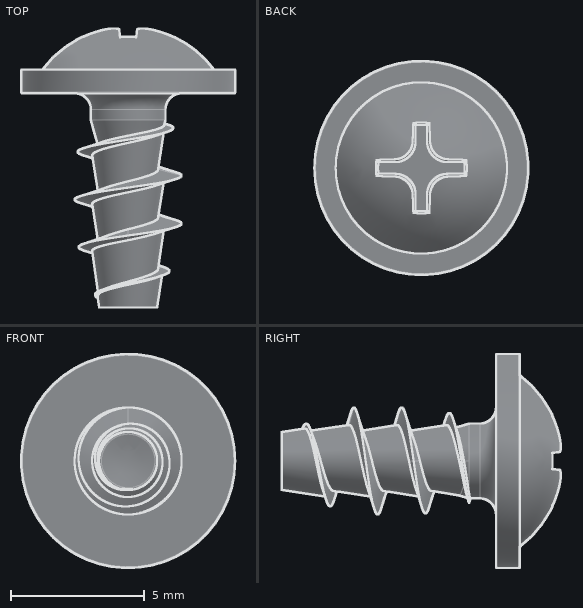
import cadquery as cq
import math


collar_radius = 4.0
collar_height = 0.9
collar_edge_radius = 0.05
dome_sphere_radius = 4.0
dome_height = 1.6
dome_base_radius = math.sqrt(dome_sphere_radius**2 - (dome_sphere_radius - dome_height) ** 2)
dome_top = collar_height + dome_height

recess_span = 3.48
wing_width = 0.68
recess_draft = 6
recess_corner_radius = 0.65
recess_depth = 1.2

neck_radius = 1.4
neck_fillet_radius = 0.6
neck_end = -1.0
neck_cone_end = -2.0
shank_length = 8.0
tip_radius = 1.085
tip_taper = 0.155

pitch = 1.79
thread_radius = 2.0
flank_slope = math.tan(math.radians(15))
first_crest_y = -1.28
lead_in_angle = 0.7 * math.pi
lead_in_crest_loss = 0.49
lead_in_exponent = 1.5
full_crest_angle = 2 * math.pi
taper_angle = 4.5 * math.pi
thread_end_angle = 7.5 * math.pi
points_per_turn = 24

root_radius_wide = 1.35
root_radius_narrow = 1.12
root_start_angle = -math.pi
root_overlap = 0.02
root_gap_minimum = 0.03
center_radius = 1.05
inner_radius = 0.8

dimple_radius = 1.0
dimple_depth = 0.1


def crest_y(angle):
    """Height of the crest, for an angle measured from +X towards +Z."""
    turned = angle
    if angle < 0:
        turned = angle + angle**2 / (2 * lead_in_angle)
    return first_crest_y - pitch * turned / (2 * math.pi)


def crest_radius(angle):
    """Radius of the crest: rising from the neck, then constant, then falling to the tip."""
    if angle < full_crest_angle:
        remaining = (full_crest_angle - angle) / (full_crest_angle + lead_in_angle)
        return thread_radius - lead_in_crest_loss * remaining**lead_in_exponent
    if angle > taper_angle:
        progress = (angle - taper_angle) / (thread_end_angle - taper_angle)
        return thread_radius - (thread_radius - tip_radius) * progress
    return thread_radius


def helical_rib(section, start_angle, end_angle):
    """Solid whose cross-section at each angle is the polygon section(angle) of (radius, y)."""
    corner_count = len(section(start_angle))
    span = end_angle - start_angle
    steps = math.ceil(points_per_turn * span / (2 * math.pi))

    def corner_point(corner, angle):
        radius, y = section(angle)[corner]
        return cq.Vector(radius * math.cos(angle), y, radius * math.sin(angle))

    angles = [start_angle + span * step / steps for step in range(steps + 1)]
    curves = []
    for corner in range(corner_count):
        points = [corner_point(corner, angle) for angle in angles]
        curves.append(cq.Edge.makeSpline(points, parameters=angles))

    faces = []
    for corner in range(corner_count):
        faces.append(cq.Face.makeRuledSurface(curves[corner - 1], curves[corner]))
    for angle in (start_angle, end_angle):
        corners = [corner_point(corner, angle) for corner in range(corner_count)]
        faces.append(cq.Face.makeFromWires(cq.Wire.makePolygon(corners, close=True)))
    solid = cq.Solid.makeSolid(cq.Shell.makeShell(faces))
    return cq.Workplane(solid.fix())


def thread_section(angle):
    """Sharp triangle reaching from inside the core to the crest."""
    radius = crest_radius(angle)
    y = crest_y(angle)
    half_width = (radius - inner_radius) * flank_slope
    return [(inner_radius, y + half_width), (radius, y), (inner_radius, y - half_width)]


def root_gap(angle, root_radius):
    """Distance along Y from the crest to a band of core that starts just inside the flank."""
    flank_width = (crest_radius(angle) - root_radius) * flank_slope
    return max(flank_width - root_overlap, root_gap_minimum)


def tip_cone_radius(y):
    """Radius of the cone that limits the core towards the tip."""
    return tip_radius + tip_taper * (y + shank_length)


def root_section(angle):
    """Tapered band of core between one thread turn and the next."""
    next_angle = angle + 2 * math.pi
    top = crest_y(angle) - root_gap(angle, root_radius_wide)
    bottom = crest_y(next_angle) + root_gap(next_angle, root_radius_narrow)
    return [
        (inner_radius, top),
        (min(root_radius_wide, tip_cone_radius(top)), top),
        (min(root_radius_narrow, tip_cone_radius(bottom)), bottom),
        (inner_radius, bottom),
    ]


def make_shank_cylinder(radius):
    """Cylinder from the end of the neck to the plane of the tip."""
    return cq.Workplane("XZ", origin=(0, neck_end, 0)).circle(radius).extrude(shank_length + neck_end)


def make_thread():
    """Thread in three stretches: lead-in, full height and run-out, ending flush with the tip."""
    thread = helical_rib(thread_section, -lead_in_angle, full_crest_angle)
    thread = thread.union(helical_rib(thread_section, full_crest_angle, taper_angle))
    run_out = helical_rib(thread_section, taper_angle, thread_end_angle)
    return thread.union(run_out.intersect(make_shank_cylinder(collar_radius)))


def make_core():
    """Shank without its thread."""
    root_band = helical_rib(root_section, root_start_angle, thread_end_angle)
    root_band = root_band.intersect(make_shank_cylinder(collar_radius))
    return root_band.union(make_shank_cylinder(center_radius))


def make_head_and_neck():
    """Revolved dome, collar, filleted neck and the cone that leads into the core."""
    dome_mid_angle = 0.5 * math.asin(dome_base_radius / dome_sphere_radius)
    dome_mid = (
        dome_sphere_radius * math.sin(dome_mid_angle),
        dome_top - dome_sphere_radius * (1 - math.cos(dome_mid_angle)),
    )
    fillet_mid_offset = neck_fillet_radius * (1 - math.sqrt(0.5))
    edge = collar_edge_radius
    profile = (
        cq.Workplane("XY")
        .moveTo(0, dome_top)
        .threePointArc(dome_mid, (dome_base_radius, collar_height))
        .lineTo(collar_radius - edge, collar_height)
        .radiusArc((collar_radius, collar_height - edge), edge)
        .lineTo(collar_radius, edge)
        .radiusArc((collar_radius - edge, 0), edge)
        .lineTo(neck_radius + neck_fillet_radius, 0)
        .threePointArc(
            (neck_radius + fillet_mid_offset, -fillet_mid_offset),
            (neck_radius, -neck_fillet_radius),
        )
        .lineTo(neck_radius, neck_end)
        .lineTo(root_radius_narrow, neck_cone_end)
        .lineTo(0, neck_cone_end)
        .close()
    )
    return profile.revolve(360, (0, 0, 0), (0, 1, 0))


def make_cross_recess():
    """Drafted cross with round wing ends and filleted corners between the wings."""
    outline = (
        cq.Sketch()
        .rect(2 * recess_span, wing_width)
        .rect(wing_width, 2 * recess_span)
        .clean()
        .vertices(cq.selectors.BoxSelector((-wing_width, -wing_width, -1), (wing_width, wing_width, 1)))
        .fillet(recess_corner_radius)
        .reset()
        .circle(recess_span / 2, mode="i")
    )
    opening = cq.Workplane("XZ", origin=(0, dome_top, 0)).placeSketch(outline)
    return opening.extrude(recess_depth, taper=recess_draft)


def make_tip_dimple():
    """Sphere that cuts the dish out of the tip face."""
    sphere_radius = (dimple_radius**2 + dimple_depth**2) / (2 * dimple_depth)
    sphere_center_y = dimple_depth - shank_length - sphere_radius
    return cq.Workplane("XY", origin=(0, sphere_center_y, 0)).sphere(sphere_radius, direct=(0, 1, 0))


result = make_head_and_neck().union(make_core()).union(make_thread())
result = result.cut(make_cross_recess()).cut(make_tip_dimple())
result = cq.Workplane(result.solids().val())